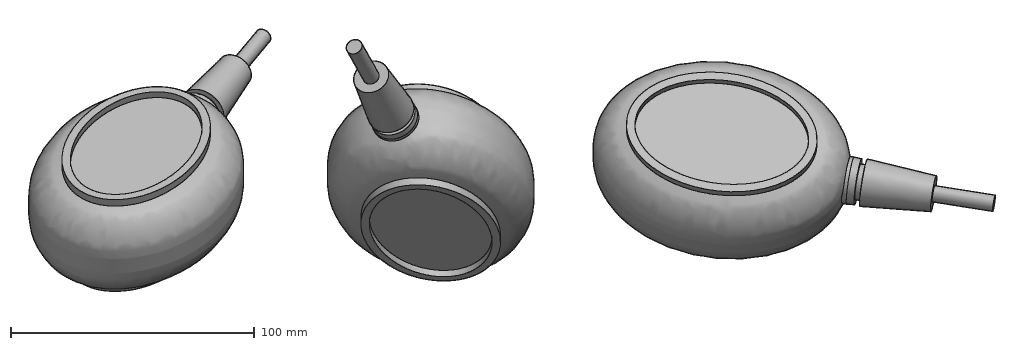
import cadquery as cq

body_width = 83.0
body_length = 106.5
band_height = 7.5
edge_radius = 17.4
body_height = band_height + 2 * edge_radius

rim_height = 3.0
overall_height = body_height + 2 * rim_height
rim_width = 55.3
rim_length = 79.0
rim_wall = 3.5

boss_diameter = 19.7
boss_end_y = 53.8

collar_diameter = 19.4
collar_end_y = 57.0
neck_diameter = 15.0
neck_end_y = 59.3
relief_diameter = 19.7
land_length = 0.8
relief_tip_diameter = 15.0
relief_tip_y = 88.5

cable_diameter = 6.8
overall_length = 167.0
cable_end_y = overall_length - body_length / 2


def elliptical_block(width, length, height):
    """Upright elliptical cylinder centred on the origin."""
    block = cq.Workplane("XY").ellipse(width / 2, length / 2).extrude(height)
    return block.translate((0, 0, -height / 2))


def cylinder_along_y(diameter, start_y, end_y):
    """Cylinder on the Y axis between two positions."""
    start_plane = cq.Plane(origin=(0, start_y, 0), xDir=(1, 0, 0), normal=(0, 1, 0))
    return cq.Workplane(start_plane).circle(diameter / 2).extrude(end_y - start_y)


def make_housing():
    body = elliptical_block(body_width, body_length, body_height)
    body = body.edges(">Z or <Z").fillet(edge_radius)

    body = body.union(elliptical_block(rim_width, rim_length, overall_height))

    recess = elliptical_block(rim_width - 2 * rim_wall, rim_length - 2 * rim_wall, rim_height)
    recess_centre_z = (body_height + rim_height) / 2
    for side in (1, -1):
        body = body.cut(recess.translate((0, 0, side * recess_centre_z)))

    return body.union(cylinder_along_y(boss_diameter, 0, boss_end_y))


def make_strain_relief():
    """Revolved sleeve with a through hole for the cable."""
    bore_radius = cable_diameter / 2
    profile = [
        (bore_radius, boss_end_y),
        (boss_diameter / 2, boss_end_y),
        (collar_diameter / 2, collar_end_y - land_length),
        (collar_diameter / 2, collar_end_y),
        (neck_diameter / 2, collar_end_y),
        (neck_diameter / 2, neck_end_y),
        (relief_diameter / 2, neck_end_y),
        (relief_diameter / 2, neck_end_y + land_length),
        (relief_tip_diameter / 2, relief_tip_y),
        (bore_radius, relief_tip_y),
    ]
    return cq.Workplane("XY").polyline(profile).close().revolve(360, (0, 0, 0), (0, 1, 0))


def make_cable():
    return cylinder_along_y(cable_diameter, boss_end_y, cable_end_y)


housing = make_housing()
strain_relief = make_strain_relief()
cable = make_cable()

result = cq.Compound.makeCompound([housing.val(), strain_relief.val(), cable.val()])